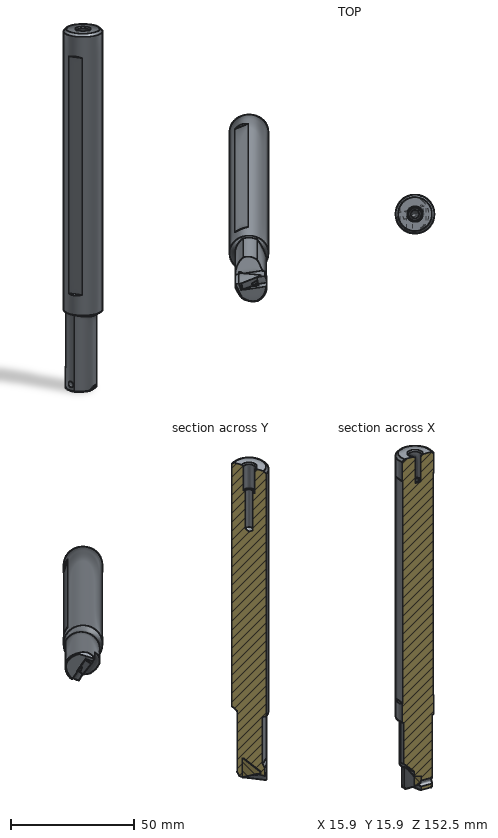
import cadquery as cq
import math

length = 152.5
shank_diameter = 15.9
shank_radius = shank_diameter / 2
shank_bottom = 33.4
top_chamfer = 1.0

flat_bottom = 41.5
flat_top = 143.0
flat_distance = 7.3
flat_depth = shank_radius - flat_distance

inlet_mouth_radius = 3.2
inlet_radius = 2.6
inlet_depth = 12.2
coolant_radius = 1.7
coolant_depth = 30.5
drill_point_angle = 118.0

neck_diameter = 14.5
neck_radius = neck_diameter / 2
back_radius = 7.3
back_reach = 5.5
back_centre_x = back_reach - back_radius
neck_bottom = 0.3
bottom_chamfer = 0.5
back_chamfer_width = 1.0
back_chamfer_height = 2.0

cone_tip_radius = 4.9
cone_height = 2.0

relief_radius = 18.3
relief_reach = 6.3
relief_bottom = 9.9
relief_step = 3.0
relief_step_angle = 60.0

tilt = 15.0
insert_edge_x = 3.0
insert_edge_y = 3.2
insert_side = 11.0
insert_thickness = 3.0
insert_nose_radius = 0.5
insert_clearance = 7.0
corner_drop = (math.sqrt(3) - 1) * insert_nose_radius
insert_height = insert_side * math.sqrt(3) / 2

chip_space_top = 9.9
cut_size = 30.5

notch_top = 4.3

cross_hole_radius = 1.2
cross_hole_x = -2.3
cross_hole_z = 3.4

tilt_angle = math.radians(tilt)
insert_plane = cq.Plane(
    origin=(insert_edge_x, insert_edge_y, -corner_drop),
    xDir=(math.cos(tilt_angle), math.sin(tilt_angle), 0),
    normal=(math.sin(tilt_angle), -math.cos(tilt_angle), 0),
)


def make_shank():
    shank = (
        cq.Workplane("XY", origin=(0, 0, shank_bottom))
        .circle(shank_radius)
        .extrude(length - shank_bottom)
        .faces(">Z").chamfer(top_chamfer)
    )
    cone = cq.Solid.makeCone(
        cone_tip_radius, shank_radius, cone_height, pnt=cq.Vector(0, 0, shank_bottom - cone_height)
    )
    return shank.union(cq.Workplane(cone))


def make_flat_cutter(side):
    """Cut for one flat, with 45 degree ends; side is -1 for -Y and 1 for +Y."""
    outer = side * shank_radius
    inner = side * flat_distance
    return (
        cq.Workplane("YZ")
        .moveTo(outer, flat_bottom)
        .lineTo(inner, flat_bottom + flat_depth)
        .lineTo(inner, flat_top - flat_depth)
        .lineTo(outer, flat_top)
        .close()
        .extrude(shank_radius, both=True)
    )


def make_inlet_cutter():
    coolant_bottom = length - coolant_depth
    point_height = coolant_radius / math.tan(math.radians(drill_point_angle / 2))
    mouth_chamfer = inlet_mouth_radius - inlet_radius
    return (
        cq.Workplane("XZ")
        .moveTo(0, length)
        .lineTo(inlet_mouth_radius, length)
        .lineTo(inlet_radius, length - mouth_chamfer)
        .lineTo(inlet_radius, length - inlet_depth)
        .lineTo(coolant_radius, length - inlet_depth)
        .lineTo(coolant_radius, coolant_bottom)
        .lineTo(0, coolant_bottom - point_height)
        .close()
        .revolve(360, (0, 0, 0), (0, 1, 0))
    )


def make_relief_form():
    """Turned form, with its axis on the +X side, that leaves the head prouder than the neck."""
    axis_x = relief_radius - relief_reach
    step_radius = relief_radius + relief_step
    step_height = relief_step * math.tan(math.radians(relief_step_angle))
    return (
        cq.Workplane("XZ", origin=(axis_x, 0, 0))
        .moveTo(0, 0)
        .lineTo(step_radius, 0)
        .lineTo(step_radius, relief_bottom - step_height)
        .lineTo(relief_radius, relief_bottom)
        .lineTo(relief_radius, shank_bottom)
        .lineTo(0, shank_bottom)
        .close()
        .revolve(360, (0, 0, 0), (0, 1, 0))
    )


def make_neck():
    base = cq.Workplane("XY", origin=(0, 0, neck_bottom))
    neck_height = shank_bottom - neck_bottom
    front = base.circle(neck_radius).extrude(neck_height)
    back = base.center(back_centre_x, 0).circle(back_radius).extrude(neck_height)
    neck = front.intersect(back).faces("<Z").chamfer(bottom_chamfer)
    back_corner = (
        cq.Workplane("XZ")
        .moveTo(back_reach, neck_bottom)
        .lineTo(back_reach, neck_bottom + back_chamfer_height)
        .lineTo(back_reach - back_chamfer_width, neck_bottom)
        .close()
        .extrude(neck_radius, both=True)
    )
    return neck.cut(back_corner).intersect(make_relief_form())


def make_chip_space_cutter():
    """Everything in front of the rake face, up to a 45 degree end face."""
    cross_section = cq.Plane(
        origin=insert_plane.origin, xDir=-insert_plane.zDir, normal=insert_plane.xDir
    )
    return (
        cq.Workplane(cross_section)
        .moveTo(0, 0)
        .lineTo(0, chip_space_top)
        .lineTo(cut_size, chip_space_top + cut_size)
        .lineTo(cut_size, 0)
        .close()
        .extrude(cut_size, both=True)
    )


def make_insert_outline():
    corners = [(0, 0), (0, insert_side), (-insert_height, insert_side / 2), (0, 0)]
    return cq.Sketch().polygon(corners).vertices().fillet(insert_nose_radius)


def make_insert():
    """Triangular plate that narrows away from its rake face."""
    return (
        cq.Workplane(insert_plane)
        .placeSketch(make_insert_outline())
        .extrude(insert_thickness, taper=insert_clearance)
    )


def make_seat_cutter():
    """Space for the insert, open towards the chip space."""
    opening = (
        cq.Workplane(insert_plane)
        .placeSketch(make_insert_outline())
        .extrude(-cut_size)
    )
    return opening.union(make_insert())


def make_notch_cutter():
    """Open space below the insert, whose lower edge rises at 30 degrees, as deep as the seat."""
    return (
        cq.Workplane(insert_plane)
        .moveTo(0, 0)
        .lineTo(-notch_top * math.sqrt(3), notch_top)
        .lineTo(-cut_size, notch_top)
        .lineTo(-cut_size, 0)
        .close()
        .extrude(insert_thickness)
    )


def make_cross_hole_cutter():
    return (
        cq.Workplane("XZ", origin=(cross_hole_x, 0, cross_hole_z))
        .circle(cross_hole_radius)
        .extrude(neck_radius)
    )


def make_bar():
    bar = make_shank().union(make_neck())
    for side in (-1, 1):
        bar = bar.cut(make_flat_cutter(side))
    bar = bar.cut(make_inlet_cutter())
    bar = bar.cut(make_chip_space_cutter())
    bar = bar.cut(make_seat_cutter())
    bar = bar.cut(make_notch_cutter())
    return bar.cut(make_cross_hole_cutter())


bar = make_bar()
insert = make_insert()
result = cq.Compound.makeCompound([bar.solids().val(), insert.val()])